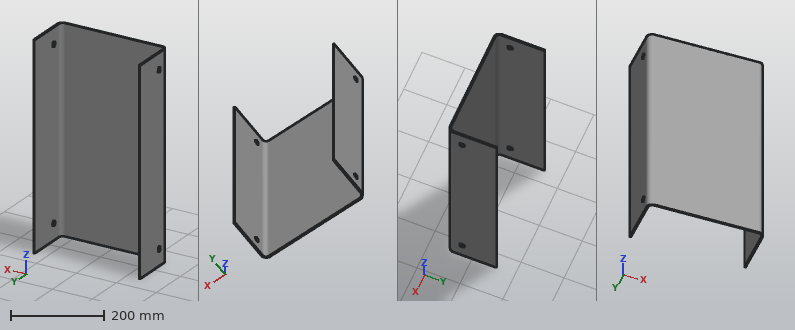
import cadquery as cq

width = 266.5
depth = 113.0
height = 500.0

thickness = 3.0
bend_outer_radius = 13.0
bend_inner_radius = bend_outer_radius - thickness

hole_diameter = 12.0
hole_from_front = 33.0
hole_from_end = 40.0


def rounded_block(block_width, front, bend_radius):
    """Full-height block reaching from y = front to the open back, front corners rounded."""
    return (
        cq.Workplane("XY")
        .box(block_width, depth - front, height, centered=(True, False, False))
        .translate((0, front, 0))
        .edges("|Z and <Y")
        .fillet(bend_radius)
    )


def mounting_holes():
    """Cylinders along X that pass through both flanges near each end."""
    hole_heights = (hole_from_end, height - hole_from_end)
    return (
        cq.Workplane("YZ")
        .pushPoints([(hole_from_front, z) for z in hole_heights])
        .circle(hole_diameter / 2)
        .extrude(width, both=True)
    )


outside = rounded_block(width, 0, bend_outer_radius)
inside = rounded_block(width - 2 * thickness, thickness, bend_inner_radius)
result = outside.cut(inside).cut(mounting_holes())